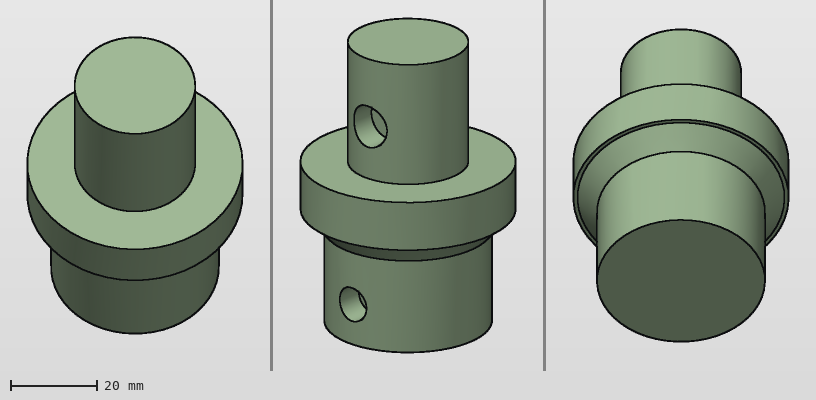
import cadquery as cq

total_height = 70.0
flange_diameter = 50.0
socket_diameter = 39.0
shank_diameter = 28.0
socket_height = 23.0
cone_top_diameter = 48.0
cone_height = 5.0
flange_height = 12.0

shank_hole_diameter = 10.3
shank_hole_z = 53.0
shank_hole_depth = 7.0
socket_hole_diameter = 8.3
socket_hole_z = 10.0
socket_hole_depth = 7.0

flange_bottom = socket_height + cone_height
flange_top = flange_bottom + flange_height


def turned_body():
    """Revolve the half profile of the socket, cone, flange and shank about Z."""
    profile = [
        (0, 0),
        (socket_diameter / 2, 0),
        (socket_diameter / 2, socket_height),
        (cone_top_diameter / 2, flange_bottom),
        (flange_diameter / 2, flange_bottom),
        (flange_diameter / 2, flange_top),
        (shank_diameter / 2, flange_top),
        (shank_diameter / 2, total_height),
        (0, total_height),
    ]
    return cq.Workplane("XZ").polyline(profile).close().revolve(360, (0, 0), (0, 1))


def radial_hole(hole_diameter, z, body_diameter, depth):
    """Cutter entering from the +Y side, with depth measured from the body surface."""
    outer_y = body_diameter / 2
    return cq.Workplane("XZ", origin=(0, outer_y, z)).circle(hole_diameter / 2).extrude(depth)


shank_hole = radial_hole(shank_hole_diameter, shank_hole_z, shank_diameter, shank_hole_depth)
socket_hole = radial_hole(socket_hole_diameter, socket_hole_z, socket_diameter, socket_hole_depth)

result = turned_body().cut(shank_hole).cut(socket_hole)